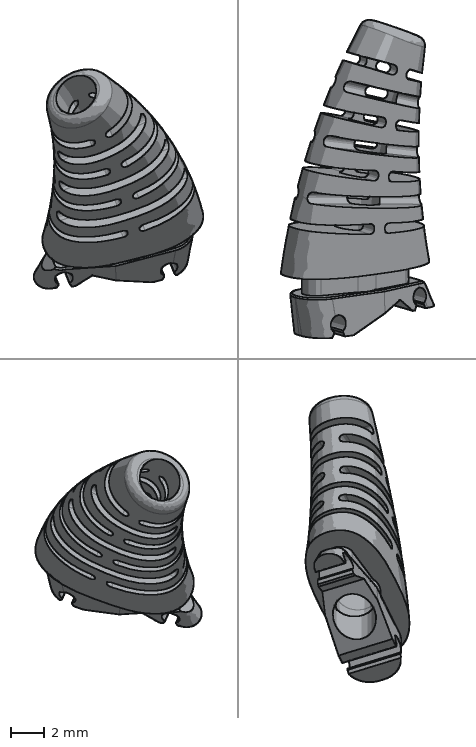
import cadquery as cq
import math

SPINE_RADIUS = 36.5
TOP_ANGLE = 23.2
BASE_HALF_WIDTH = 2.49
BASE_HALF_LENGTH = 5.0
TOP_HALF_WIDTH = 1.88
TOP_HALF_LENGTH = 2.02
BASE_END_RADIUS = 2.1
TOP_END_RADIUS = 1.78
LENGTH_BULGE = 0.32
WIDTH_BULGE = 0.6
SECTION_COUNT = 6
RIM_FILLET = 0.62
BORE_RADIUS = 1.3
BORE_OVERRUN_ANGLE = 1

FIRST_SLOT_ANGLE = 4.35
SLOT_ANGLE_STEP = 2.5
SLOT_COUNT = 7
END_SLOT_HEIGHT = 0.62
SIDE_SLOT_HEIGHT = 0.69
END_SLOT_MOUTH = 0.34
END_BRIDGE_HALF = 0.38
SIDE_BRIDGE_HALF = 0.5

CUT_REACH = 6.0

HUB_RADIUS = 1.41
HUB_EXPOSED_HALF = 0.67
NECK_HALF_LENGTH = 3.74
NECK_END_Y = 3.12
NECK_END_HALF_WIDTH = 0.85

LATCH_TOP = -1.26
LATCH_BOTTOM = -3.76
TONGUE_BOTTOM = -2.91
LATCH_HALF_WIDTH_TOP = 1.62
LATCH_HALF_WIDTH_BOTTOM = 1.75
LATCH_BACK_TOP = 4.43
LATCH_BACK_BOTTOM = 4.03
LATCH_BACK_CORNER = 1.6
LATCH_TOP_CHAMFER = 0.1
TAPER_START = -1.0
TONGUE_RADIUS = 0.92
TONGUE_TIP = -5.61
TONGUE_KNEE = (-5.11, -1.84)
TONGUE_TOP_EDGE = -4.47
KEEL_FRONT = 1.32
NOTCH_PEAK = (-2.37, -2.07)
HOOK_HEEL = -3.42
BORE_EXIT_Y = -0.5

SOCKET_RADIUS = 0.54
SOCKET_MOUTH_HALF = 0.33
SOCKET_FLARE = 0.12
SOCKETS = [(2.4, -2.95, LATCH_BOTTOM), (-4.06, -2.14, TONGUE_BOTTOM)]

PICK_MARGIN = 0.01


def spine_point(angle):
    a = math.radians(angle)
    return (0, -SPINE_RADIUS * (1 - math.cos(a)), SPINE_RADIUS * math.sin(a))


def spine_plane(angle):
    a = math.radians(angle)
    return cq.Plane(spine_point(angle), (1, 0, 0), (0, -math.sin(a), math.cos(a)))


def place_on_spine(body, angle):
    return body.rotate((0, 0, 0), (1, 0, 0), angle).translate(spine_point(angle))


def boot_wire(angle):
    """Smooth oval through points on two end arcs and the flatter side arcs tangent to them."""
    t = angle / TOP_ANGLE
    half_width = BASE_HALF_WIDTH + (TOP_HALF_WIDTH - BASE_HALF_WIDTH) * t + WIDTH_BULGE * t * (1 - t) ** 2
    half_length = BASE_HALF_LENGTH + (TOP_HALF_LENGTH - BASE_HALF_LENGTH) * t + LENGTH_BULGE * t * (1 - t)
    end_radius = BASE_END_RADIUS + (TOP_END_RADIUS - BASE_END_RADIUS) * t
    end_center = half_length - end_radius
    side_radius = (half_width**2 + end_center**2 - end_radius**2) / (2 * (half_width - end_radius))
    side_center = side_radius - half_width
    tangent = math.atan2(end_center, side_center)
    join = (end_radius * math.cos(tangent), end_center + end_radius * math.sin(tangent))
    middle = (tangent + math.pi / 2) / 2
    end_mid = (end_radius * math.cos(middle), end_center + end_radius * math.sin(middle))
    quarter = [end_mid, join]
    right_half = [(0, half_length)] + quarter + [(half_width, 0)] + [(x, -y) for x, y in reversed(quarter)]
    left_half = [(-x, -y) for x, y in right_half]
    outline = cq.Workplane(spine_plane(angle)).spline(right_half + left_half, periodic=True)
    return outline.wire().wires().val()


def make_boot():
    angles = [TOP_ANGLE * i / (SECTION_COUNT - 1) for i in range(SECTION_COUNT)]
    boot = cq.Workplane(cq.Solid.makeLoft([boot_wire(a) for a in angles]))
    top_rim = cq.selectors.NearestToPointSelector(spine_point(TOP_ANGLE))
    return boot.faces(top_rim).edges().fillet(RIM_FILLET)


def end_slots():
    """Two slots across X, narrowing toward their mouths at the +Y and -Y ends."""
    root = END_BRIDGE_HALF + END_SLOT_HEIGHT / 2
    slot = (
        cq.Workplane("YZ")
        .moveTo(CUT_REACH, -END_SLOT_MOUTH / 2)
        .lineTo(root, -END_SLOT_HEIGHT / 2)
        .threePointArc((END_BRIDGE_HALF, 0), (root, END_SLOT_HEIGHT / 2))
        .lineTo(CUT_REACH, END_SLOT_MOUTH / 2)
        .close()
        .extrude(CUT_REACH, both=True)
    )
    return slot.union(slot.mirror("XZ"))


def side_slots():
    """Two round-ended slots along Y, open at the +X and -X sides."""
    root = SIDE_BRIDGE_HALF + SIDE_SLOT_HEIGHT / 2
    slot = (
        cq.Workplane("XZ")
        .moveTo(CUT_REACH, -SIDE_SLOT_HEIGHT / 2)
        .lineTo(root, -SIDE_SLOT_HEIGHT / 2)
        .threePointArc((SIDE_BRIDGE_HALF, 0), (root, SIDE_SLOT_HEIGHT / 2))
        .lineTo(CUT_REACH, SIDE_SLOT_HEIGHT / 2)
        .close()
        .extrude(CUT_REACH, both=True)
    )
    return slot.union(slot.mirror("YZ"))


def make_neck():
    """Round hub with a tapering, round-ended arm toward each end of the boot."""
    hub_x = math.sqrt(HUB_RADIUS**2 - HUB_EXPOSED_HALF**2)
    return (
        cq.Workplane("XY")
        .moveTo(hub_x, -HUB_EXPOSED_HALF)
        .threePointArc((HUB_RADIUS, 0), (hub_x, HUB_EXPOSED_HALF))
        .lineTo(NECK_END_HALF_WIDTH, NECK_END_Y)
        .threePointArc((0, NECK_HALF_LENGTH), (-NECK_END_HALF_WIDTH, NECK_END_Y))
        .lineTo(-hub_x, HUB_EXPOSED_HALF)
        .threePointArc((-HUB_RADIUS, 0), (-hub_x, -HUB_EXPOSED_HALF))
        .lineTo(-NECK_END_HALF_WIDTH, -NECK_END_Y)
        .threePointArc((0, -NECK_HALF_LENGTH), (NECK_END_HALF_WIDTH, -NECK_END_Y))
        .close()
        .extrude(LATCH_TOP)
    )


def latch_section(z):
    """Plan outline of the latch at height z: round-cornered back, tapered sides, round tongue."""
    depth = (LATCH_TOP - z) / (LATCH_TOP - LATCH_BOTTOM)
    half_width = LATCH_HALF_WIDTH_TOP + (LATCH_HALF_WIDTH_BOTTOM - LATCH_HALF_WIDTH_TOP) * depth
    back = LATCH_BACK_TOP + (LATCH_BACK_BOTTOM - LATCH_BACK_TOP) * depth
    lean = (TONGUE_TIP - TONGUE_KNEE[0]) / (TONGUE_BOTTOM - TONGUE_KNEE[1])
    tip = TONGUE_TIP + lean * (z - TONGUE_BOTTOM)
    shoulder = tip + TONGUE_RADIUS
    r = LATCH_BACK_CORNER
    mid = r * (1 - math.sqrt(0.5))
    return (
        cq.Workplane("XY", origin=(0, 0, z))
        .moveTo(half_width, TAPER_START)
        .lineTo(half_width, back - r)
        .threePointArc((half_width - mid, back - mid), (half_width - r, back))
        .lineTo(r - half_width, back)
        .threePointArc((mid - half_width, back - mid), (-half_width, back - r))
        .lineTo(-half_width, TAPER_START)
        .lineTo(-TONGUE_RADIUS, shoulder)
        .threePointArc((0, tip), (TONGUE_RADIUS, shoulder))
        .close()
        .wires()
        .val()
    )


def socket_cut(y, z, floor):
    """Round pin seat with a narrower mouth that flares at the open end."""
    half = SOCKET_MOUTH_HALF
    flare_top = floor + 2 * SOCKET_FLARE
    mouth = (
        cq.Workplane("YZ")
        .polyline(
            [
                (y - half, z),
                (y - half, flare_top),
                (y - half - SOCKET_FLARE, floor),
                (y + half + SOCKET_FLARE, floor),
                (y + half, flare_top),
                (y + half, z),
            ]
        )
        .close()
        .extrude(CUT_REACH, both=True)
    )
    pin = cq.Workplane("YZ").center(y, z).circle(SOCKET_RADIUS).extrude(CUT_REACH, both=True)
    return mouth.union(pin)


def make_latch():
    blank = cq.Workplane(
        cq.Solid.makeLoft([latch_section(LATCH_TOP), latch_section(LATCH_BOTTOM)], True)
    )
    profile = (
        cq.Workplane("YZ")
        .polyline(
            [
                (LATCH_BACK_TOP, LATCH_TOP),
                (LATCH_BACK_TOP, LATCH_BOTTOM),
                (KEEL_FRONT, LATCH_BOTTOM),
                NOTCH_PEAK,
                (HOOK_HEEL, TONGUE_BOTTOM),
                (TONGUE_TIP, TONGUE_BOTTOM),
                TONGUE_KNEE,
                (TONGUE_TOP_EDGE, LATCH_TOP),
            ]
        )
        .close()
        .extrude(CUT_REACH, both=True)
    )
    latch = blank.intersect(profile)
    top_edges = cq.selectors.BoxSelector(
        (-CUT_REACH, -CUT_REACH, LATCH_TOP - PICK_MARGIN),
        (CUT_REACH, CUT_REACH, LATCH_TOP + PICK_MARGIN),
    )
    bevel_edge = cq.selectors.NearestToPointSelector((0, TONGUE_TOP_EDGE, LATCH_TOP))
    chamfered_edges = cq.selectors.SubtractSelector(top_edges, bevel_edge)
    latch = latch.edges(chamfered_edges).chamfer(LATCH_TOP_CHAMFER)
    for socket in SOCKETS:
        latch = latch.cut(socket_cut(*socket))
    return latch


def make_bore():
    """Bore that follows the spine, then runs straight down through the neck and latch."""
    mouth_angle = TOP_ANGLE + BORE_OVERRUN_ANGLE
    path = cq.Workplane("YZ").threePointArc(spine_point(mouth_angle / 2)[1:], spine_point(mouth_angle)[1:])
    upper = cq.Workplane("XY").circle(BORE_RADIUS).sweep(path)
    lower = cq.Workplane("XY").circle(BORE_RADIUS).extrude(LATCH_TOP)
    latch_part = (
        cq.Workplane("XY", origin=(0, BORE_EXIT_Y, LATCH_TOP))
        .circle(BORE_RADIUS)
        .extrude(LATCH_BOTTOM - LATCH_TOP)
    )
    return upper.union(lower).union(latch_part)


result = make_boot()
for index in range(SLOT_COUNT):
    slots = end_slots() if index % 2 == 0 else side_slots()
    result = result.cut(place_on_spine(slots, FIRST_SLOT_ANGLE + index * SLOT_ANGLE_STEP))
result = result.union(make_neck()).union(make_latch()).cut(make_bore())